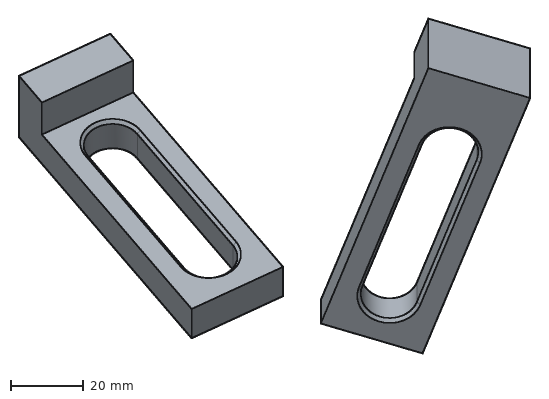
import cadquery as cq

length = 90.0
width = 30.0
height = 25.0

base_thickness = 12.0
post_thickness = 12.0

slot_start_center = 25.0
slot_end_center = 75.0
slot_width = 16.0
slot_chamfer = 1.0
chamfer_angle = 45


def make_body():
    """L-shaped body: a flat base with an upright post at its -X end."""
    base = cq.Workplane("XY").box(length, width, base_thickness, centered=(False, True, False))
    post = cq.Workplane("XY").box(post_thickness, width, height, centered=(False, True, False))
    return base.union(post).clean()


def make_slot_cutter():
    """Rounded slot through the base, flared by a chamfer at its top and bottom rims."""
    center_distance = slot_end_center - slot_start_center
    slot_middle = (slot_start_center + slot_end_center) / 2
    rim_width = slot_width + 2 * slot_chamfer

    def slot_prism(bottom, size, depth, taper=0):
        return (
            cq.Workplane("XY", origin=(slot_middle, 0, bottom))
            .slot2D(center_distance + size, size)
            .extrude(depth, taper=taper)
        )

    through = slot_prism(0, slot_width, base_thickness)
    bottom_flare = slot_prism(0, rim_width, slot_chamfer, chamfer_angle)
    top_flare = bottom_flare.mirror("XY").translate((0, 0, base_thickness))
    return through.union(bottom_flare).union(top_flare)


result = make_body().cut(make_slot_cutter())